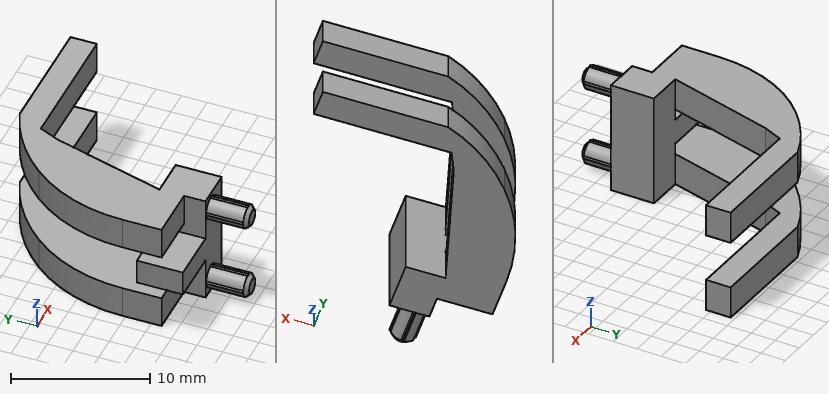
import cadquery as cq
import math


height = 8.89
arm_thickness = 2.56
arm_reach = 17.93
arm_back = 16.2
arm_width = 2.05

block_left = 4.23
block_right = 7.28
block_depth = 3.59
tab_height = 2.02

arm_front = 1.67
curve_start_y = 4.73
curve_join = (2.83, 12.4)
curve_end_x = 8.38
inner_bend = (6.7, 12.51)
inner_corner_x = 7.41

pin_length = 3.2
pin_chamfer = 0.31
pin_radius = 0.91
pin_x = 5.28
pin_inset = 1.28
rib_reach = 1.018
rib_root = 0.85
rib_half_width = rib_reach - rib_root
rib_length = pin_length - pin_chamfer
pin_embed = 0.2


def lower_arc_midpoint():
    """Middle of the lower outer arc, which starts tangent to the straight left side."""
    join_x, join_y = curve_join
    rise = join_y - curve_start_y
    radius = (join_x**2 + rise**2) / (2 * join_x)
    half_sweep = math.asin(rise / radius) / 2
    return (
        radius * (1 - math.cos(half_sweep)),
        curve_start_y + radius * math.sin(half_sweep),
    )


def make_arm(bottom):
    """One flat curved arm with its underside at the given height."""
    return (
        cq.Workplane("XY", origin=(0, 0, bottom))
        .moveTo(0, arm_front)
        .lineTo(0, curve_start_y)
        .threePointArc(lower_arc_midpoint(), curve_join)
        .tangentArcPoint((curve_end_x, arm_back), relative=False)
        .lineTo(arm_reach, arm_back)
        .lineTo(arm_reach, arm_back - arm_width)
        .lineTo(inner_corner_x, arm_back - arm_width)
        .lineTo(*inner_bend)
        .lineTo(block_left, block_depth)
        .lineTo(block_right, block_depth)
        .lineTo(block_right, arm_front)
        .close()
        .extrude(arm_thickness)
    )


def make_pin(center_z):
    """A chamfered pin pointing toward -Y with four pointed ribs along it."""
    front_plane = cq.Workplane("XZ", origin=(pin_x, pin_embed, center_z))
    pin = (
        front_plane.circle(pin_radius)
        .extrude(pin_length + pin_embed)
        .faces("<Y")
        .chamfer(pin_chamfer)
    )
    rib_profile = [
        (rib_root, -rib_half_width),
        (rib_root, rib_half_width),
        (rib_reach, 0),
    ]
    rib = front_plane.polyline(rib_profile).close().extrude(rib_length + pin_embed)
    axis_start = (pin_x, 0, center_z)
    axis_end = (pin_x, 1, center_z)
    for angle in (0, 90, 180, 270):
        pin = pin.union(rib.rotate(axis_start, axis_end, angle))
    return pin


block = cq.Workplane("XY").box(
    block_right - block_left, block_depth, height, centered=False
).translate((block_left, 0, 0))

tab = cq.Workplane("XY").box(
    block_right, block_depth, tab_height, centered=False
).translate((0, 0, (height - tab_height) / 2))

body = block.union(tab)
for arm_bottom in (0, height - arm_thickness):
    body = body.union(make_arm(arm_bottom))
for pin_z in (pin_inset, height - pin_inset):
    body = body.union(make_pin(pin_z))

result = body